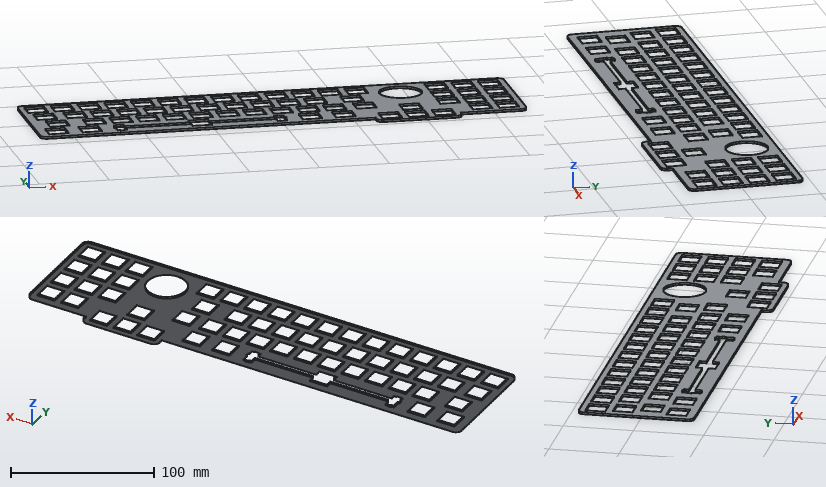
import cadquery as cq

length = 347.0
width = 82.2
thickness = 1.6
side_border = 2.0
top_border = 2.0
columns = 18
pitch = (length - 2 * side_border) / columns
corner_radius = 4.5

tab_drop = 7.5
tab_border = 1.7
tab_start_column = 12.5
tab_end_column = 15.5
total_width = width + tab_drop

switch_inset = 2.53
switch_size = pitch - 2 * switch_inset

right_block_keys = [15.5, 16.5, 17.5]
key_rows = [
    [0.5 + i for i in range(13)] + right_block_keys,
    [0.625] + [1.75 + i for i in range(10)] + [12.125] + right_block_keys,
    [0.875] + [2.25 + i for i in range(10)] + [12.375] + right_block_keys,
    [0.625, 1.875, 6, 10.125, 11.375] + right_block_keys[1:],
]

arrow_keys = [(14, 3), (13, 4), (14, 4), (15, 4)]

spacebar = (6, 3.5)
stabilizer_spacing = 6 * pitch
channel_width = 4.5
slot_width = 7.0
slot_height = 12.5
slot_drop = 0.62
slot_end_width = 3.0
slot_end_depth = 0.7
side_notch_depth = 0.83
side_notch_height = 2.8
side_notch_rise = 0.52

round_opening_diameter = 30.2
round_opening_x = 96.0
round_opening_y = 23.5


def grid_point(column, row):
    """Position of a point given in key spaces from the top left corner of the grid."""
    x = -length / 2 + side_border + column * pitch
    y = total_width / 2 - top_border - row * pitch
    return x, y


def rectangular_cutters(x_size, y_size, centers):
    """Rectangular prisms through the plate thickness."""
    return cq.Workplane("XY").pushPoints(centers).rect(x_size, y_size).extrude(thickness)


def plate_blank():
    """Rounded rectangle with a rounded tab along its lower edge."""
    plate = (
        cq.Workplane("XY")
        .center(0, tab_drop / 2)
        .rect(length, width)
        .extrude(thickness)
        .edges("|Z")
        .fillet(corner_radius)
    )
    tab_left = grid_point(tab_start_column, 0)[0] - tab_border
    tab_right = grid_point(tab_end_column, 0)[0] + tab_border
    tab_height = total_width / 2
    tab = (
        cq.Workplane("XY")
        .center((tab_left + tab_right) / 2, -tab_height / 2)
        .rect(tab_right - tab_left, tab_height)
        .extrude(thickness)
        .edges("|Z and <Y")
        .fillet(corner_radius)
    )
    return plate.union(tab)


def switch_openings():
    """Square openings for all the switches, the spacebar included."""
    centers = [
        grid_point(column, row + 0.5)
        for row, key_columns in enumerate(key_rows)
        for column in key_columns
    ]
    centers += [grid_point(column, row) for column, row in arrow_keys]
    return rectangular_cutters(switch_size, switch_size, centers)


def stabilizer_opening():
    """Wire channel with a notched slot at each end."""
    x, y = grid_point(*spacebar)
    opening = rectangular_cutters(stabilizer_spacing, channel_width, [(x, y)])
    for side in (-1, 1):
        slot_x = x + side * stabilizer_spacing / 2
        slot_center = (slot_x, y - slot_drop)
        notch_center = (slot_x + side * side_notch_depth, y + side_notch_rise)
        slot_end_height = slot_height + 2 * slot_end_depth
        opening = (
            opening.union(rectangular_cutters(slot_width, slot_height, [slot_center]))
            .union(rectangular_cutters(slot_end_width, slot_end_height, [slot_center]))
            .union(rectangular_cutters(slot_width, side_notch_height, [notch_center]))
        )
    return opening


def round_opening():
    """Cylinder through the plate thickness."""
    return (
        cq.Workplane("XY")
        .center(round_opening_x, round_opening_y)
        .circle(round_opening_diameter / 2)
        .extrude(thickness)
    )


result = plate_blank().cut(switch_openings()).cut(stabilizer_opening()).cut(round_opening())